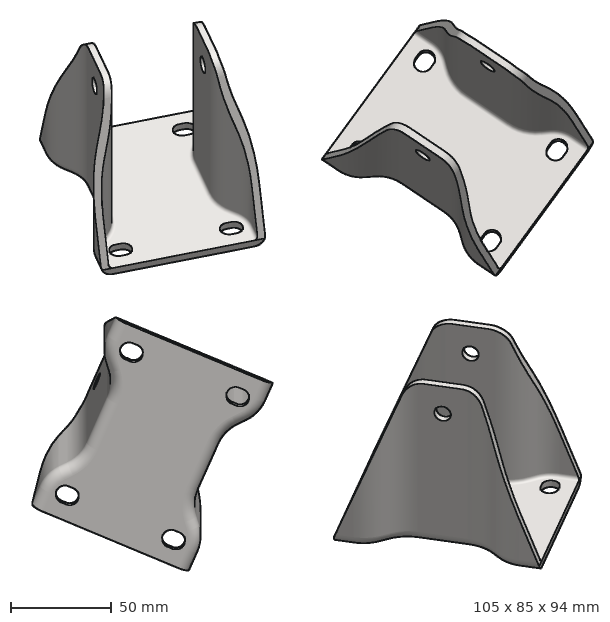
import cadquery as cq
import math

LENGTH = 105.0
WIDTH = 85.0
HEIGHT = 94.0

THICKNESS = 4.0
INNER_BEND = 2.0
OUTER_BEND = INNER_BEND + THICKNESS

WAIST_WIDTH = 60.1
WAIST_FLAT = 25.6
CURVE_RADIUS = 20.0
CURVE_ANGLE = math.radians(40)

TOP_WIDTH = 35.0
TOP_RADIUS = 12.0

PIN_DIAMETER = 8.4
PIN_BELOW_TOP = 16.1
SLOT_WIDTH = 9.0
SLOT_LENGTH = 11.5
SLOT_SPACING_X = 80.0
SLOT_SPACING_Y = 57.3

OVERRUN = 10.5


def wall_edges(inset):
    """Edges of the +Y wall in plan, from +X to -X, moved inward by inset."""
    outer_y = WIDTH / 2 - inset
    waist_y = WAIST_WIDTH / 2 - inset
    end_x = LENGTH / 2 + OVERRUN
    convex = CURVE_RADIUS - inset
    concave = CURVE_RADIUS + inset

    arc_rise = CURVE_RADIUS * (1 - math.cos(CURVE_ANGLE))
    ramp_rise = (WIDTH - WAIST_WIDTH) / 2 - 2 * arc_rise
    ramp_run = ramp_rise / math.tan(CURVE_ANGLE)
    waist_x = WAIST_FLAT / 2
    shoulder_x = waist_x + 2 * CURVE_RADIUS * math.sin(CURVE_ANGLE) + ramp_run

    def on_convex(angle):
        return (
            shoulder_x - convex * math.sin(angle),
            outer_y - convex * (1 - math.cos(angle)),
        )

    def on_concave(angle):
        return (
            waist_x + concave * math.sin(angle),
            waist_y + concave * (1 - math.cos(angle)),
        )

    half = [
        [(end_x, outer_y), on_convex(0)],
        [on_convex(0), on_convex(CURVE_ANGLE / 2), on_convex(CURVE_ANGLE)],
        [on_convex(CURVE_ANGLE), on_concave(CURVE_ANGLE)],
        [on_concave(CURVE_ANGLE), on_concave(CURVE_ANGLE / 2), on_concave(0)],
    ]
    mirrored = [[(-x, y) for x, y in reversed(edge)] for edge in reversed(half)]
    waist = [on_concave(0), mirrored[0][0]]
    return half + [waist] + mirrored


def waisted_block(inset, floor, bend_radius):
    """Block with the waisted plan shape and rounded lower side edges."""
    far_wall = wall_edges(inset)
    near_wall = [[(-x, -y) for x, y in edge] for edge in far_wall]
    outline = cq.Workplane("XY").workplane(offset=floor).moveTo(*far_wall[0][0])
    for edge in far_wall + [[far_wall[-1][-1], near_wall[0][0]]] + near_wall:
        if len(edge) == 3:
            outline = outline.threePointArc(edge[1], edge[2])
        else:
            outline = outline.lineTo(*edge[1])
    block = outline.close().extrude(HEIGHT + OVERRUN - floor)
    return block.faces("<Z").edges("not |Y").fillet(bend_radius)


def flank_envelope():
    """Side outline of the bracket, extended across the whole width."""
    return (
        cq.Workplane("XZ")
        .moveTo(-LENGTH / 2, 0)
        .lineTo(LENGTH / 2, 0)
        .lineTo(LENGTH / 2, THICKNESS)
        .lineTo(TOP_WIDTH / 2, HEIGHT)
        .lineTo(-TOP_WIDTH / 2, HEIGHT)
        .lineTo(-LENGTH / 2, THICKNESS)
        .close()
        .extrude(WIDTH / 2 + OVERRUN, both=True)
        .faces(">Z")
        .edges("|Y")
        .fillet(TOP_RADIUS)
    )


def pin_hole():
    """Cylinder through both side walls."""
    return (
        cq.Workplane("XZ")
        .center(0, HEIGHT - PIN_BELOW_TOP)
        .circle(PIN_DIAMETER / 2)
        .extrude(WIDTH, both=True)
    )


def mounting_slots():
    """Four slots through the base, elongated along Y."""
    return (
        cq.Workplane("XY")
        .rarray(SLOT_SPACING_X, SLOT_SPACING_Y, 2, 2)
        .slot2D(SLOT_LENGTH, SLOT_WIDTH, 90)
        .extrude(THICKNESS)
    )


channel = waisted_block(0, 0, OUTER_BEND).cut(waisted_block(THICKNESS, THICKNESS, INNER_BEND))
bracket = channel.intersect(flank_envelope())
result = bracket.cut(pin_hole()).cut(mounting_slots())